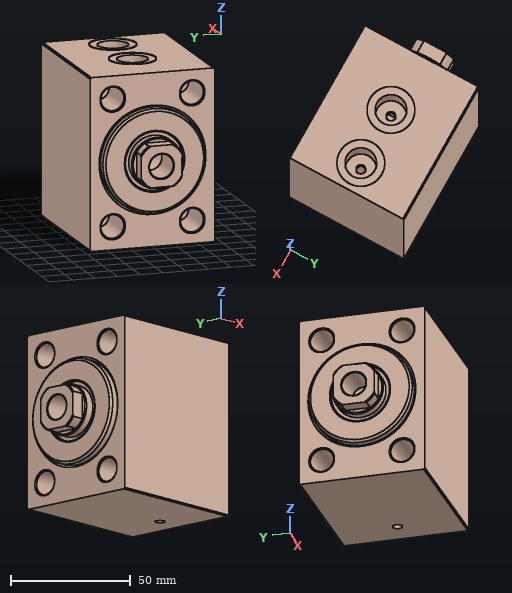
import cadquery as cq
import math


total_length = 77.0
tip_length = 6.0
gland_face_x = 9.0
housing_face_x = 12.0
housing_length = total_length - housing_face_x

housing_width = 55.0
housing_height = 75.0
housing_edge_chamfer = 0.5
bore_diameter = 45.05
bore_mouth_chamfer = 1.0
bore_end_x = 67.0

mounting_spacing_y = 35.0
mounting_spacing_z = 55.0
mounting_hole_diameter = 10.2
mounting_hole_chamfer = 0.5
mounting_hole_depth = 20.0

drill_point_angle = 118.0

front_port_x = 38.5
port_spacing = 26.0
port_diameter = 13.2
port_depth = 12.0
spotface_diameter = 20.0
spotface_depth = 0.2
channel_diameter = 4.0

gland_end_x = 35.4
gland_chamfer = 1.0
wiper_diameter = 25.6
wiper_depth = 1.4
wiper_step_diameter = 26.4
wiper_step_depth = 0.5

rod_diameter = 22.0
shoulder_chamfer = 0.5
tip_diameter = rod_diameter - 2 * shoulder_chamfer
tip_chamfer = 0.4
tip_across_flats = 18.0
tip_hole_diameter = 10.55
tip_hole_chamfer = 0.3
tip_hole_depth = 15.4
piston_front_x = 47.0
piston_back_x = 62.1


def cylinder_x(diameter, start_x, end_x):
    """Cylinder on the rod axis between two X positions."""
    return cq.Workplane("YZ", origin=(start_x, 0, 0)).circle(diameter / 2).extrude(end_x - start_x)


def cone_x(start_diameter, end_diameter, start_x, end_x):
    """Truncated cone on the rod axis between two X positions."""
    return (
        cq.Workplane("XY")
        .moveTo(start_x, 0)
        .lineTo(start_x, start_diameter / 2)
        .lineTo(end_x, end_diameter / 2)
        .lineTo(end_x, 0)
        .close()
        .revolve(360, (0, 0, 0), (1, 0, 0))
    )


def drilled_hole(face_x, diameter, chamfer, depth):
    """Cutter for a chamfered blind hole with a drill point, running in +X from a face."""
    radius = diameter / 2
    point_length = radius / math.tan(math.radians(drill_point_angle / 2))
    return (
        cq.Workplane("XY")
        .moveTo(face_x, 0)
        .lineTo(face_x, radius + chamfer)
        .lineTo(face_x + chamfer, radius)
        .lineTo(face_x + depth, radius)
        .lineTo(face_x + depth + point_length, 0)
        .close()
        .revolve(360, (0, 0, 0), (1, 0, 0))
    )


def port(x):
    """Cutter for an oil port: a spotface and a flat-bottomed bore in the top face."""
    top = cq.Workplane("XY", origin=(x, 0, housing_height / 2))
    spotface = top.circle(spotface_diameter / 2).extrude(-spotface_depth)
    return spotface.union(top.circle(port_diameter / 2).extrude(-port_depth))


def channel(x, length):
    """Cutter for an oil channel going down from the top face."""
    return cq.Workplane("XY", origin=(x, 0, housing_height / 2)).circle(channel_diameter / 2).extrude(-length)


def make_housing():
    block = (
        cq.Workplane("XY")
        .box(housing_length, housing_width, housing_height, centered=(False, True, True))
        .translate((housing_face_x, 0, 0))
        .edges("|X")
        .chamfer(housing_edge_chamfer)
    )

    mouth_diameter = bore_diameter + 2 * bore_mouth_chamfer
    mouth_end_x = housing_face_x + bore_mouth_chamfer
    block = block.cut(cylinder_x(bore_diameter, housing_face_x, bore_end_x))
    block = block.cut(cone_x(mouth_diameter, bore_diameter, housing_face_x, mouth_end_x))

    mounting_hole = drilled_hole(
        housing_face_x, mounting_hole_diameter, mounting_hole_chamfer, mounting_hole_depth
    )
    for side_y in (-1, 1):
        for side_z in (-1, 1):
            place = (0, side_y * mounting_spacing_y / 2, side_z * mounting_spacing_z / 2)
            block = block.cut(mounting_hole.translate(place))

    rear_port_x = front_port_x + port_spacing
    for x in (front_port_x, rear_port_x):
        block = block.cut(port(x))
    block = block.cut(channel(front_port_x, housing_height / 2))
    return block.cut(channel(rear_port_x, housing_height))


def make_gland():
    ring = cylinder_x(bore_diameter, gland_face_x, gland_end_x).faces("<X").chamfer(gland_chamfer)

    ring = ring.cut(cylinder_x(wiper_diameter, gland_face_x, gland_face_x + wiper_depth))
    ring = ring.cut(cylinder_x(wiper_step_diameter, gland_face_x, gland_face_x + wiper_step_depth))

    return ring.cut(cylinder_x(rod_diameter, gland_face_x, gland_end_x))


def make_piston_rod():
    tip = cylinder_x(tip_diameter, 0, tip_length).faces("<X").chamfer(tip_chamfer)
    flats = cq.Workplane("YZ").rect(tip_across_flats, tip_across_flats).extrude(tip_length)
    tip = tip.intersect(flats)

    rod = cylinder_x(rod_diameter, tip_length, piston_back_x).faces("<X").chamfer(shoulder_chamfer)
    piston = cylinder_x(bore_diameter, piston_front_x, piston_back_x)

    tip_hole = drilled_hole(0, tip_hole_diameter, tip_hole_chamfer, tip_hole_depth)
    return rod.union(piston).union(tip).cut(tip_hole)


housing = make_housing()
gland = make_gland()
piston_rod = make_piston_rod()

result = cq.Compound.makeCompound([housing.val(), gland.val(), piston_rod.val()])